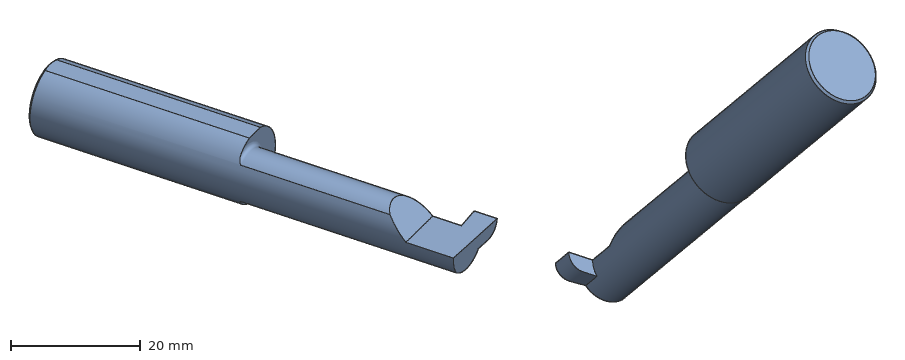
import cadquery as cq

total_length = 76.2
shank_radius = 6.3
shank_length = 36.7
shank_chamfer = 0.4
flat_height = 6.1

neck_radius = 4.4
neck_center_y = -2.5
neck_fillet = 0.7

head_start = 67.3
rake_face_z = 0.0
hook_back_tip = 72.1
hook_back_root = 72.4
end_at_tip = total_length
end_at_heel = 75.75
hook_round = 2.6
relief_angle = 2.0

neck_side_y = neck_center_y + neck_radius


def x_cylinder(radius, start, end, center_y=0.0):
    """Round bar along X between two stations."""
    return cq.Workplane("YZ", origin=(start, center_y, 0)).circle(radius).extrude(end - start)


def make_shank():
    """Chamfered round shank with a narrow flat on top."""
    shank = x_cylinder(shank_radius, 0, shank_length).faces("<X").chamfer(shank_chamfer)
    below_flat = (
        cq.Workplane("XY", origin=(0, 0, flat_height))
        .rect(4 * total_length, 4 * shank_radius)
        .extrude(-4 * shank_radius)
    )
    return shank.intersect(below_flat)


def make_neck():
    """Neck with a filleted root and a 45 degree ramp down to the rake face."""
    neck = x_cylinder(neck_radius, shank_length, total_length, neck_center_y)
    arc_reach = neck_fillet * (1 - 0.5 ** 0.5)
    root_fillet = (
        cq.Workplane("XY", origin=(shank_length, neck_center_y, 0))
        .lineTo(0, neck_radius + neck_fillet)
        .threePointArc(
            (arc_reach, neck_radius + arc_reach),
            (neck_fillet, neck_radius),
        )
        .lineTo(neck_fillet, 0)
        .close()
        .revolve(360, (0, 0, 0), (1, 0, 0))
    )
    ramp_rise = 2 * neck_radius
    above_ramp = (
        cq.Workplane("XZ")
        .moveTo(head_start, rake_face_z)
        .lineTo(2 * total_length, rake_face_z)
        .lineTo(2 * total_length, rake_face_z + ramp_rise)
        .lineTo(head_start - ramp_rise, rake_face_z + ramp_rise)
        .close()
        .extrude(2 * shank_radius, both=True)
    )
    envelope = x_cylinder(shank_radius, 0, total_length)
    return neck.union(root_fillet).intersect(envelope).cut(above_ramp)


def end_x(y):
    """Station of the slanted end edge at the rake face."""
    slope = (end_at_tip - end_at_heel) / (2 * shank_radius)
    return end_at_tip + slope * (y - shank_radius)


def make_hook():
    """Side tooth, relieved at the back and rounded under its outer side."""
    tooth = (
        cq.Workplane("XY", origin=(0, 0, rake_face_z))
        .polyline([
            (hook_back_root, neck_center_y),
            (hook_back_root, neck_side_y),
            (hook_back_tip, shank_radius),
            (end_at_tip, shank_radius),
            (end_x(neck_center_y), neck_center_y),
        ])
        .close()
        .extrude(-neck_radius, taper=relief_angle)
    )
    round_center_y = shank_radius - hook_round
    bottom_z = rake_face_z - hook_round
    section = (
        cq.Workplane("YZ")
        .moveTo(neck_center_y, rake_face_z)
        .lineTo(shank_radius, rake_face_z)
        .radiusArc((round_center_y, bottom_z), hook_round)
        .lineTo(neck_center_y, bottom_z)
        .close()
        .extrude(total_length)
    )
    return tooth.intersect(section)


def make_end_relief():
    """Material beyond the slanted end face, which leans back below the rake face."""
    reach = 2 * shank_radius
    return (
        cq.Workplane("XY", origin=(0, 0, rake_face_z))
        .polyline([
            (end_x(-reach), -reach),
            (end_x(reach), reach),
            (total_length + reach, reach),
            (total_length + reach, -reach),
        ])
        .close()
        .extrude(-reach, taper=-relief_angle)
    )


bar = make_shank().union(make_neck()).union(make_hook())
result = bar.cut(make_end_relief())